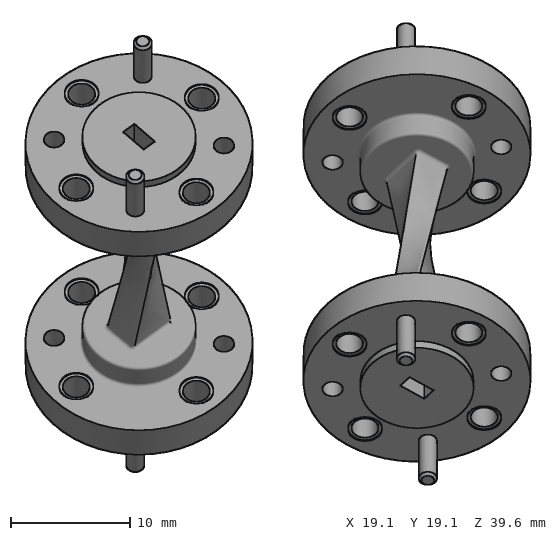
import cadquery as cq
import math


pin_tip_z = 19.8
boss_face_z = 15.93
boss_height = 0.8
flange_thickness = 3.33
collar_height = 2.3
flange_front_z = boss_face_z - boss_height
flange_back_z = flange_front_z - flange_thickness
collar_end_z = flange_back_z - collar_height

flange_diameter = 19.05
boss_diameter = 9.5
collar_round = 0.25

hole_circle_radius = 7.15
screw_hole_diameter = 2.25
counterbore_diameter = 2.85
counterbore_depth = 0.1
pin_hole_diameter = 1.7
pin_diameter = 1.55
pin_chamfer = 0.25

bore_width = 2.55
bore_height = 1.25
tube_wall = 1.0
tube_width = bore_width + 2 * tube_wall
tube_height = bore_height + 2 * tube_wall
tube_corner_radius = 0.25
tube_root_fillet = 0.297


def circle_point(angle_degrees):
    """Point on the hole circle at the given angle."""
    angle = math.radians(angle_degrees)
    return (hole_circle_radius * math.cos(angle), hole_circle_radius * math.sin(angle))


screw_points = [circle_point(angle) for angle in (0, 90, 180, 270)]
pin_hole_points = [circle_point(angle) for angle in (45, 225)]
pin_points = [circle_point(angle) for angle in (135, 315)]


def cylinders(points, diameter, bottom_z, top_z):
    """Upright cylinders at the given points."""
    base = cq.Workplane("XY").workplane(offset=bottom_z).pushPoints(points)
    return base.circle(diameter / 2).extrude(top_z - bottom_z)


def rounded_rectangle(width, height, radius):
    """Edges of a rectangle, counterclockwise; each corner is an arc when radius is above zero."""
    corners = [(1, -1, -90), (1, 1, 0), (-1, 1, 90), (-1, -1, 180)]
    arcs = []
    for side_x, side_y, start_angle in corners:
        centre_x = side_x * (width / 2 - radius)
        centre_y = side_y * (height / 2 - radius)
        arc_points = []
        for turn in (0, 45, 90):
            angle = math.radians(start_angle + turn)
            x = centre_x + radius * math.cos(angle)
            y = centre_y + radius * math.sin(angle)
            arc_points.append(cq.Vector(x, y, 0))
        arcs.append(arc_points)
    edges = []
    for arc_points, next_arc_points in zip(arcs, arcs[1:] + arcs[:1]):
        if radius > 0:
            edges.append(cq.Edge.makeThreePointArc(*arc_points))
        edges.append(cq.Edge.makeLine(arc_points[-1], next_arc_points[0]))
    return edges


def twisted_bar(width, height, radius):
    """Bar whose straight-line sides join a section to the same section a quarter turn earlier."""
    section = rounded_rectangle(width, height, radius)
    up = cq.Vector(0, 0, 1)
    top = [edge.translate(up * collar_end_z) for edge in section]
    bottom = [edge.rotate(cq.Vector(), up, -90).translate(up * -collar_end_z) for edge in section]
    faces = [cq.Face.makeRuledSurface(low, high) for low, high in zip(bottom, top)]
    faces.append(cq.Face.makeFromWires(cq.Wire.assembleEdges(top)))
    faces.append(cq.Face.makeFromWires(cq.Wire.assembleEdges(bottom)))
    return cq.Workplane(cq.Solid.makeSolid(cq.Shell.makeShell(faces)).fix())


def flange_body():
    """Upper flange turned in one piece: boss, disc and collar, rounded at the collar's end and root."""
    collar_radius = boss_diameter / 2
    bend = collar_round * (1 - math.sqrt(0.5))
    profile = (
        cq.Workplane("XZ")
        .moveTo(0, collar_end_z)
        .lineTo(collar_radius - collar_round, collar_end_z)
        .threePointArc(
            (collar_radius - bend, collar_end_z + bend),
            (collar_radius, collar_end_z + collar_round),
        )
        .lineTo(collar_radius, flange_back_z - collar_round)
        .threePointArc(
            (collar_radius + bend, flange_back_z - bend),
            (collar_radius + collar_round, flange_back_z),
        )
        .lineTo(flange_diameter / 2, flange_back_z)
        .lineTo(flange_diameter / 2, flange_front_z)
        .lineTo(collar_radius, flange_front_z)
        .lineTo(collar_radius, boss_face_z)
        .lineTo(0, boss_face_z)
        .close()
    )
    return profile.revolve(360, (0, 0), (0, 1))


def screw_hole_tools():
    """Screw holes through the flange, with a shallow counterbore on both faces."""
    tools = cylinders(screw_points, screw_hole_diameter, flange_back_z, flange_front_z)
    for bottom_z in (flange_back_z, flange_front_z - counterbore_depth):
        counterbores = cylinders(
            screw_points,
            counterbore_diameter,
            bottom_z,
            bottom_z + counterbore_depth,
        )
        tools = tools.union(counterbores)
    return tools


def make_flange():
    """Upper flange with its holes and pins, before the bore is cut."""
    pin_holes = cylinders(pin_hole_points, pin_hole_diameter, flange_back_z, flange_front_z)
    pins = cylinders(pin_points, pin_diameter, flange_back_z, pin_tip_z)
    pins = pins.faces(">Z").edges().chamfer(pin_chamfer)
    return flange_body().cut(screw_hole_tools()).cut(pin_holes).union(pins)


def make_bore():
    """Rectangular bore: straight through each flange and twisted along the tube."""
    upper = cq.Workplane("XY").workplane(offset=collar_end_z).rect(bore_width, bore_height)
    upper = upper.extrude(boss_face_z - collar_end_z)
    lower = upper.mirror("XY").rotate((0, 0, 0), (0, 0, 1), 90)
    return [upper, twisted_bar(bore_width, bore_height, 0), lower]


def near_tube_root(end_z):
    """Selector for the edges where the tube meets the collar at height end_z."""
    reach = tube_width / 2 + tube_root_fillet
    margin = 0.05
    return cq.selectors.BoxSelector(
        (-reach, -reach, end_z - margin),
        (reach, reach, end_z + margin),
    )


upper_flange = make_flange()
lower_flange = upper_flange.mirror("XY")
tube = twisted_bar(tube_width, tube_height, tube_corner_radius)

result = upper_flange.union(lower_flange).union(tube)
for tube_end_z in (collar_end_z, -collar_end_z):
    result = result.edges(near_tube_root(tube_end_z)).fillet(tube_root_fillet)
for bore_piece in make_bore():
    result = result.cut(bore_piece)